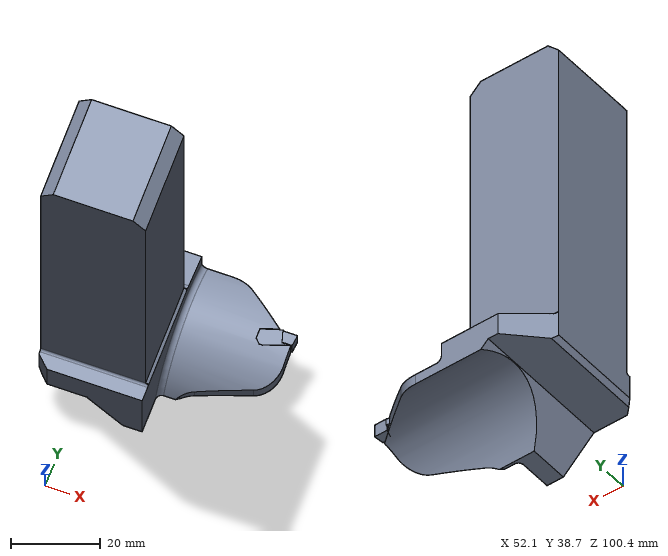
import cadquery as cq

height = 100.4
shank_size = 25.0
shank_front = 4.1
shank_end_chamfer = 3

head_length = 25.7
head_depth = 38.7
head_top = 16.5
head_floor = 8.6
front_corner_chamfer = 3
rear_bevel = 9.7
rear_top_drop = 1.7
floor_edge_chamfer = 1.2
foot_length = 4.6
front_root_radius = 0.6
rear_root_width = 1.2

inner_radius = 24.1
inner_axis_y = 29.1
inner_top = 8.5
inner_axis_z = inner_top - inner_radius
outer_radius = 20.1
outer_axis_y = 28.5
outer_top = 12.2
outer_axis_z = outer_top - outer_radius
root_radius = 1.4
blade_end = 51.5
blade_tip_y = 26.0
rear_corner_x = 36.1
rear_corner_radius = 8.6
nose_corner_y = 16.4
nose_radius = 6.4
flank_start = (29.8, 9.9)
flank_middle = (31.6, 11)
flank_end = (33.8, 11.8)

insert_end = 52.1
insert_top = outer_top
tang_top = 11.8
tang_floor = 10
tang_start = 43.6
tang_front = 24.2
tang_front_chamfer = 1.1
tang_front_flat = 0.8
tang_rear_taper = 1.6
tang_rear = 29.3
tip_start_rear = 48.6
tip_start_front = 49.4
tip_front = 26.2
tip_rear = 28.9
tip_relief = 0.3

shank_rear = shank_front + shank_size


def x_cylinder(radius, axis_y, axis_z, start, end):
    return (
        cq.Workplane("YZ", origin=(start, axis_y, axis_z)).circle(radius).extrude(end - start)
    )


def make_shank():
    """Square bar, bevelled at its upper end on the two X sides."""
    return (
        cq.Workplane("XY", origin=(0, shank_front, head_floor + floor_edge_chamfer))
        .rect(shank_size, shank_size, centered=False)
        .extrude(height - head_floor - floor_edge_chamfer)
        .faces(">Z").edges("|Y").chamfer(shank_end_chamfer)
    )


def make_shank_roots():
    """Fillets at the front and rear of the shank, and a bevel on its +X side."""
    front = (
        cq.Workplane("YZ")
        .moveTo(shank_front, head_top)
        .lineTo(shank_front, head_top + front_root_radius)
        .radiusArc((shank_front - front_root_radius, head_top), front_root_radius)
        .close()
        .extrude(head_length)
    )
    drop_slope = rear_top_drop / (head_depth - shank_rear)
    rear_end = (shank_rear + rear_root_width, head_top - rear_root_width * drop_slope)
    rear_middle = (shank_rear + front_root_radius / 2, head_top + front_root_radius / 4)
    rear = (
        cq.Workplane("YZ")
        .moveTo(shank_rear, head_top)
        .lineTo(shank_rear, head_top + front_root_radius)
        .threePointArc(rear_middle, rear_end)
        .close()
        .extrude(head_length)
    )
    side = (
        cq.Workplane("XZ", origin=(0, shank_rear, 0))
        .moveTo(shank_size, head_top)
        .lineTo(shank_size, head_top + front_root_radius)
        .lineTo(head_length, head_top)
        .close()
        .extrude(shank_size)
    )
    return front.union(rear).union(side)


def make_head_outline():
    return (
        cq.Workplane("XY")
        .polyline([
            (front_corner_chamfer, 0),
            (head_length, 0),
            (head_length, head_depth),
            (rear_bevel, head_depth),
            (0, head_depth - rear_bevel),
            (0, front_corner_chamfer),
        ])
        .close()
        .extrude(height)
    )


def make_head():
    """Stepped head with a 45 degree foot and a rear top face that slopes down."""
    foot_start = head_length - foot_length
    stepped = (
        cq.Workplane("XZ")
        .polyline([
            (0, head_floor + floor_edge_chamfer),
            (floor_edge_chamfer, head_floor),
            (foot_start - head_floor, head_floor),
            (foot_start, 0),
            (head_length, 0),
            (head_length, height),
            (0, height),
        ])
        .close()
        .extrude(-head_depth)
    )
    side = (
        cq.Workplane("YZ")
        .polyline([
            (0, 0),
            (head_depth, 0),
            (head_depth, head_top - rear_top_drop),
            (shank_rear, head_top),
            (0, head_top),
        ])
        .close()
        .extrude(head_length)
    )
    ledge = side.union(make_shank_roots())
    return stepped.intersect(ledge).intersect(make_head_outline())


def make_blade_outline():
    """Plan outline of the blade, with rounded nose and rear corners."""
    outline = (
        cq.Workplane("XY")
        .moveTo(head_length, 0)
        .lineTo(flank_start[0], 0)
        .lineTo(*flank_start)
        .threePointArc(flank_middle, flank_end)
        .lineTo(blade_end, nose_corner_y)
        .lineTo(blade_end, blade_tip_y)
        .lineTo(rear_corner_x, head_depth)
        .lineTo(head_length, head_depth)
        .close()
        .extrude(height)
    )
    nose_edge = cq.NearestToPointSelector((blade_end, nose_corner_y, height / 2))
    rear_edge = cq.NearestToPointSelector((rear_corner_x, head_depth, height / 2))
    outline = outline.edges("|Z").edges(nose_edge).fillet(nose_radius)
    return outline.edges("|Z").edges(rear_edge).fillet(rear_corner_radius)


def make_blade():
    """Cylindrical blade, with a concave fillet where it leaves the head."""
    outer = x_cylinder(outer_radius, outer_axis_y, outer_axis_z, head_length, blade_end)
    root_end = head_length + root_radius
    flare = (
        cq.Workplane("XY", origin=(0, outer_axis_y, outer_axis_z))
        .moveTo(head_length, 0)
        .lineTo(head_length, outer_radius + root_radius)
        .radiusArc((root_end, outer_radius), -root_radius)
        .lineTo(root_end, 0)
        .close()
        .revolve(360, (0, 0, 0), (1, 0, 0))
    )
    return outer.union(flare).intersect(make_blade_outline())


def make_tang(top):
    """Prism of the insert tang, from its seat floor up to the given level."""
    return (
        cq.Workplane("XY", origin=(0, 0, tang_floor))
        .polyline([
            (tang_start, tang_front + tang_front_chamfer),
            (tang_start + tang_front_chamfer, tang_front),
            (tang_start + tang_front_chamfer + tang_front_flat, tang_front),
            (blade_end, tip_front),
            (tip_start_front, tip_front),
            (tip_start_rear, tang_rear),
            (tang_start, tang_rear - tang_rear_taper),
        ])
        .close()
        .extrude(top - tang_floor)
    )


def make_tip():
    """Cutting tip overhanging the end and the rear flank of the blade."""
    return (
        cq.Workplane("XY", origin=(0, 0, head_floor))
        .polyline([
            (tip_start_front, tip_front),
            (insert_end - tip_relief, tip_front),
            (insert_end, tip_rear),
            (tip_start_rear, tip_rear),
        ])
        .close()
        .extrude(insert_top - head_floor)
    )


def make_holder():
    under_arc = x_cylinder(inner_radius, inner_axis_y, inner_axis_z, 0, blade_end)
    seat = make_tang(height / 2).union(make_tip())
    return make_head().union(make_shank()).union(make_blade()).cut(under_arc).cut(seat)


def make_insert():
    return make_tang(tang_top).union(make_tip())


holder = make_holder()
insert = make_insert()
result = cq.Compound.makeCompound([holder.val(), insert.val()])